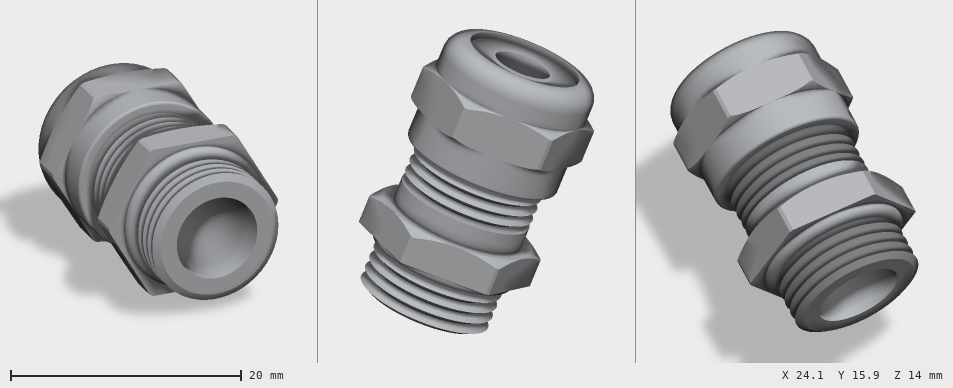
import cadquery as cq
import math

length = 24.13
across_flats = 13.97
across_corners = 15.93
corner_chamfer_angle = 30.0
corner_round_length = 0.34

nut_radius = across_flats / 2
nut_end = 10.16
nut_end_fillet = 0.254
dome_radius = 1.67
nut_hex_start = 3.30
nut_hex_end = 7.112

collar_start = 14.0
collar_radius = 5.96
body_hex_start = 15.94
body_hex_end = 19.05
flange_end = 19.89
flange_radius = 6.59
flange_round = 0.6

thread_pitch = 1.016
thread_crest_radius = 5.97
thread_root_radius = 5.09

inner_thread_first_crest = nut_end
inner_thread_crests = 5
outer_thread_crests = 5
outer_thread_last_crest = 23.75
outer_thread_first_crest = outer_thread_last_crest - (outer_thread_crests - 1) * thread_pitch

entry_radius = 5.08
cable_radius = 2.54
insert_recess = 0.508
insert_fillet = 0.25
insert_end = 3.25
passage_radius = 3.81


def x_cylinder(radius, start, end):
    """Cylinder along X."""
    return cq.Workplane("YZ", origin=(start, 0, 0)).circle(radius).extrude(end - start)


def revolve_profile(points):
    """Solid of revolution about X from (x, radius) points."""
    return cq.Workplane("XY").polyline(points).close().revolve(360, (0, 0, 0), (1, 0, 0))


def hexagon(start, end, round_end):
    """Hexagon with corners on Y, coned at the start and optionally rounded at the end."""
    prism_diameter = across_flats / math.cos(math.pi / 6)
    prism = cq.Workplane("YZ", origin=(start, 0, 0)).polygon(6, prism_diameter).extrude(end - start)
    corner_radius = across_corners / 2
    corner_height = corner_radius - nut_radius
    cone_length = corner_height * math.tan(math.radians(corner_chamfer_angle))
    turned = cq.Workplane("XY").moveTo(start, 0).lineTo(start, nut_radius)
    turned = turned.lineTo(start + cone_length, corner_radius)
    if round_end:
        arc_radius = (corner_round_length**2 + corner_height**2) / (2 * corner_round_length)
        turned = turned.lineTo(end - corner_round_length, corner_radius)
        turned = turned.radiusArc((end, nut_radius), arc_radius)
    else:
        turned = turned.lineTo(end, corner_radius)
    turned = turned.lineTo(end, 0).close().revolve(360, (0, 0, 0), (1, 0, 0))
    return prism.intersect(turned)


def thread(start, end, first_crest, crest_count):
    """Row of V-shaped rings, trimmed to the stretch between two planes."""
    half_pitch = thread_pitch / 2
    first_root = first_crest - half_pitch
    profile = [(first_root, 0), (first_root, thread_root_radius)]
    for turn in range(crest_count):
        crest_x = first_crest + turn * thread_pitch
        profile.append((crest_x, thread_crest_radius))
        profile.append((crest_x + half_pitch, thread_root_radius))
    profile.append((profile[-1][0], 0))
    return revolve_profile(profile).intersect(x_cylinder(nut_radius, start, end))


def sealing_flange():
    """Flange against the hexagon with a rounded rim."""
    round_x = flange_end - flange_round
    round_center_radius = flange_radius - flange_round
    hexagon_side_radius = round_center_radius + math.sqrt(flange_round**2 - (round_x - body_hex_end) ** 2)
    profile = cq.Workplane("XY").moveTo(body_hex_end, 0).lineTo(body_hex_end, hexagon_side_radius)
    profile = profile.threePointArc((round_x, flange_radius), (flange_end, round_center_radius))
    return profile.lineTo(flange_end, 0).close().revolve(360, (0, 0, 0), (1, 0, 0))


def gland_shell():
    """Domed nut, threads, hexagons and flange in one piece, bored for the insert and the cable."""
    nut = x_cylinder(nut_radius, 0, nut_end)
    nut = nut.faces("<X").edges().fillet(dome_radius)
    nut = nut.faces(">X").edges().fillet(nut_end_fillet)
    inner_thread = thread(nut_end, collar_start, inner_thread_first_crest, inner_thread_crests)
    outer_thread = thread(flange_end, length, outer_thread_first_crest, outer_thread_crests)
    shell = nut.union(hexagon(nut_hex_start, nut_hex_end, True))
    shell = shell.union(inner_thread)
    shell = shell.union(x_cylinder(collar_radius, collar_start, body_hex_start))
    shell = shell.union(hexagon(body_hex_start, body_hex_end, False))
    shell = shell.union(sealing_flange())
    shell = shell.union(outer_thread)
    shell = shell.cut(x_cylinder(entry_radius, 0, insert_end))
    return shell.cut(x_cylinder(passage_radius, insert_end, length))


def sealing_insert():
    """Ring that fills the entry bore just behind the dome, with a rounded front rim."""
    insert = x_cylinder(entry_radius, insert_recess, insert_end)
    insert = insert.faces("<X").edges().fillet(insert_fillet)
    return insert.cut(x_cylinder(cable_radius, insert_recess, insert_end))


shell = gland_shell()
insert = sealing_insert()
result = cq.Compound.makeCompound([shell.val(), insert.val()])